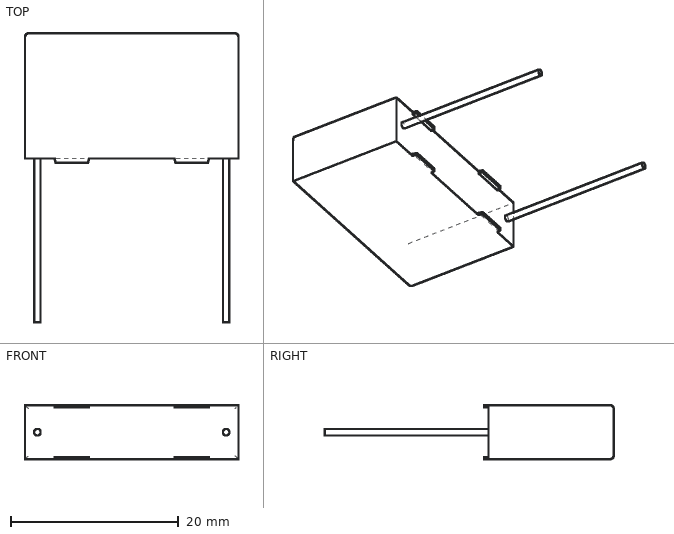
import cadquery as cq

body_width = 25.5
body_height = 6.5
overall_length = 34.5

case_length = 14.97
back_edge_radius = 0.52

foot_drop = 0.52
foot_thickness = 0.3
foot_base_width = 4.15
foot_tip_width = 3.85
foot_center_x = 7.15

lead_diameter = 0.8
lead_pitch = 22.5
lead_length = overall_length - case_length


def make_foot(center_x, bottom_z):
    """Flat foot that tapers from the lead side of the case towards -Y."""
    return (
        cq.Workplane("XY", origin=(center_x, 0, bottom_z))
        .moveTo(-foot_base_width / 2, 0)
        .lineTo(-foot_tip_width / 2, -foot_drop)
        .lineTo(foot_tip_width / 2, -foot_drop)
        .lineTo(foot_base_width / 2, 0)
        .close()
        .extrude(foot_thickness)
    )


def make_case():
    """Rectangular case with rounded back edges and four feet; its lead side lies on Y = 0."""
    case = (
        cq.Workplane("XY")
        .box(body_width, case_length, body_height, centered=(True, False, True))
        .faces(">Y")
        .edges()
        .fillet(back_edge_radius)
    )
    for center_x in (-foot_center_x, foot_center_x):
        for bottom_z in (-body_height / 2, body_height / 2 - foot_thickness):
            case = case.union(make_foot(center_x, bottom_z))
    return case


def make_lead(center_x):
    """Round wire lead that starts on the lead side of the case and runs towards -Y."""
    return cq.Workplane("XZ", origin=(center_x, 0, 0)).circle(lead_diameter / 2).extrude(lead_length)


case = make_case()
leads = [make_lead(center_x) for center_x in (-lead_pitch / 2, lead_pitch / 2)]

result = cq.Compound.makeCompound([case.val(), *[lead.val() for lead in leads]])